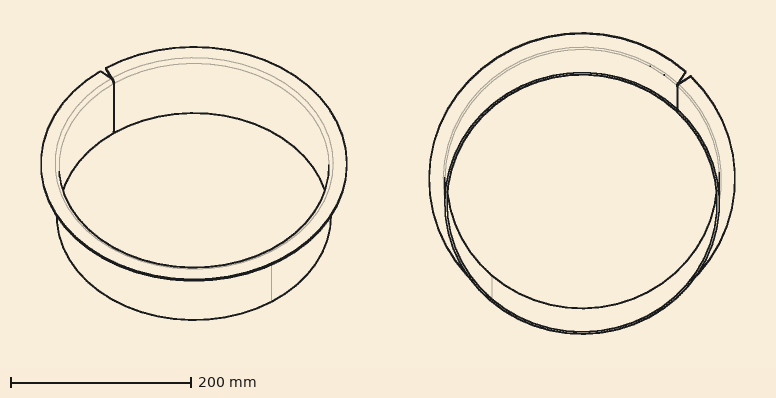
import cadquery as cq
import math

height = 90.0
flange_radius = 170.0
bore_radius = 150.0
thickness = 2.5
inside_bend_radius = 2.0
outside_bend_radius = inside_bend_radius + thickness

joint_angle = 2.0
joint_gap = 1.0
notch_mouth_width = 7.5
cut_margin = 5.0


def make_collar():
    """Revolve the L-shaped sheet section about Z."""
    wall_radius = bore_radius + thickness
    bend_center_radius = bore_radius + outside_bend_radius
    bend_center_z = height - outside_bend_radius
    diagonal = math.sqrt(0.5)
    inside_mid = (
        bend_center_radius - inside_bend_radius * diagonal,
        bend_center_z + inside_bend_radius * diagonal,
    )
    outside_mid = (
        bend_center_radius - outside_bend_radius * diagonal,
        bend_center_z + outside_bend_radius * diagonal,
    )
    section = (
        cq.Workplane("XZ")
        .moveTo(bore_radius, 0)
        .lineTo(wall_radius, 0)
        .lineTo(wall_radius, bend_center_z)
        .threePointArc(inside_mid, (bend_center_radius, height - thickness))
        .lineTo(flange_radius, height - thickness)
        .lineTo(flange_radius, height)
        .lineTo(bend_center_radius, height)
        .threePointArc(outside_mid, (bore_radius, bend_center_z))
        .close()
    )
    return section.revolve(360, (0, 0, 0), (0, 1, 0))


def make_joint_cutter():
    """Parallel slit through wall and bend, opening into a V across the flange."""
    inner_x = -(bore_radius - cut_margin)
    notch_x = -(bore_radius + outside_bend_radius)
    outer_x = -(flange_radius + cut_margin)
    half_gap = joint_gap / 2
    half_mouth = notch_mouth_width / 2
    flare = (half_mouth - half_gap) / (notch_x + flange_radius)
    half_outer = half_mouth + flare * cut_margin
    outline = [
        (inner_x, -half_gap),
        (notch_x, -half_gap),
        (outer_x, -half_outer),
        (outer_x, half_outer),
        (notch_x, half_gap),
        (inner_x, half_gap),
    ]
    cutter = cq.Workplane("XY").polyline(outline).close().extrude(height)
    return cutter.rotate((0, 0, 0), (0, 0, 1), joint_angle)


result = make_collar().cut(make_joint_cutter())